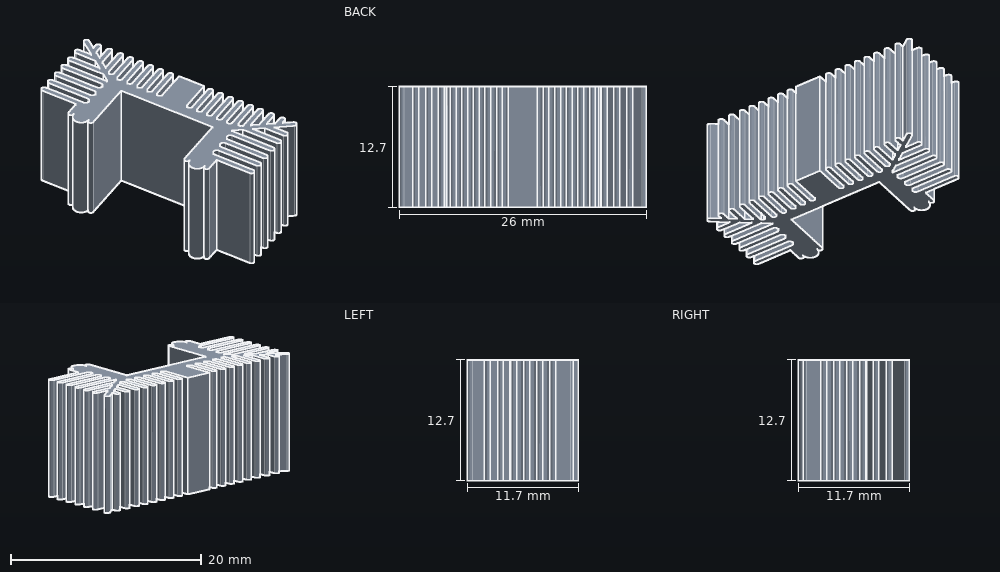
import cadquery as cq
import math

width = 26.0
depth = 11.7
height = 12.71

half_width = width / 2

fin_thickness = 0.62
fin_radius = fin_thickness / 2
fin_tip_x = half_width - fin_radius
fin_tip_y = -fin_radius

block_half_width = 1.53
channel_half_width = 5.6
plate_front_y = -5.1
leg_outer_x = 8.6
side_slot_floor_x = 7.65

back_pitch = 1.22
back_fin_count = 6
wide_pitch = 1.35
wide_fin_count = 2
back_slot_floor_y = -3.77
outer_slot_floor_y = -3.45
back_slot_width = back_pitch - fin_thickness
first_back_fin_x = block_half_width + back_slot_width + fin_radius
back_fin_xs = [first_back_fin_x + i * back_pitch for i in range(back_fin_count)]
wide_fin_xs = [back_fin_xs[-1] + (i + 1) * wide_pitch for i in range(wide_fin_count)]

first_side_fin_y = -2.13
side_pitch = 1.38
side_fin_count = 6
rib_side_fin_count = 2
side_slot_width = side_pitch - fin_thickness
side_fin_ys = [first_side_fin_y - i * side_pitch for i in range(side_fin_count)]
leg_fin_ys = side_fin_ys[rib_side_fin_count:]

rib_angle = math.radians(37)
rib_root_x = channel_half_width + fin_thickness

pin_radius = 0.9
pin_x = (channel_half_width + leg_outer_x) / 2
pin_y = -depth + pin_radius
lip_tip_y = -11.15
lip_radius = (leg_outer_x - pin_x - pin_radius) / 2


def box(x_min, x_max, y_min, y_max):
    """Full-height block between two X and two Y positions."""
    block = cq.Workplane("XY").box(x_max - x_min, y_max - y_min, height, centered=False)
    return block.translate((x_min, y_min, 0))


def cylinder(x, y, radius):
    """Full-height round bar."""
    return cq.Workplane("XY").center(x, y).circle(radius).extrude(height)


def rounded_bar(start, end, bar_width):
    """Full-height bar with fully rounded ends centred on two points."""
    dx = end[0] - start[0]
    dy = end[1] - start[1]
    length = math.hypot(dx, dy)
    return (
        cq.Workplane("XY")
        .center((start[0] + end[0]) / 2, (start[1] + end[1]) / 2)
        .slot2D(length + bar_width, bar_width, math.degrees(math.atan2(dy, dx)))
        .extrude(height)
    )


def make_core():
    """Half of the channel: back block, plate and leg, before the slots are cut."""
    slot_radius = back_slot_width / 2
    core = box(0, block_half_width, plate_front_y, 0)
    core = core.union(box(0, side_slot_floor_x, plate_front_y, back_slot_floor_y + slot_radius))
    core = core.union(
        box(back_fin_xs[-2], back_fin_xs[-1], back_slot_floor_y, outer_slot_floor_y + slot_radius)
    )
    core = core.union(
        box(channel_half_width, side_slot_floor_x + side_slot_width / 2, leg_fin_ys[-1], leg_fin_ys[0])
    )
    return core.union(box(channel_half_width, leg_outer_x, pin_y, leg_fin_ys[-1]))


def cut_slots(core):
    """Cut the round-bottomed slots between the back fins and between the leg fins."""
    for i, fin_x in enumerate(back_fin_xs):
        x = fin_x - back_pitch / 2
        floor_y = outer_slot_floor_y if i == back_fin_count - 1 else back_slot_floor_y
        core = core.cut(rounded_bar((x, floor_y + back_slot_width / 2), (x, 0), back_slot_width))
    for fin_y in leg_fin_ys[:-1]:
        y = fin_y - side_pitch / 2
        start = (side_slot_floor_x + side_slot_width / 2, y)
        core = core.cut(rounded_bar(start, (half_width, y), side_slot_width))
    return core


def rib_y(x):
    """Y of the diagonal rib's centre line."""
    return fin_tip_y - (fin_tip_x - x) * math.tan(rib_angle)


def rib_x(y):
    """X of the diagonal rib's centre line."""
    return fin_tip_x - (fin_tip_y - y) / math.tan(rib_angle)


def add_fins(body):
    """Add the diagonal rib and all round-tipped fins."""
    body = body.union(rounded_bar((rib_root_x, rib_y(rib_root_x)), (fin_tip_x, fin_tip_y), fin_thickness))
    for x in back_fin_xs[:-1]:
        body = body.union(rounded_bar((x, back_slot_floor_y - fin_radius), (x, fin_tip_y), fin_thickness))
    for x in [back_fin_xs[-1]] + wide_fin_xs:
        body = body.union(rounded_bar((x, rib_y(x)), (x, fin_tip_y), fin_thickness))
    for y in side_fin_ys[:rib_side_fin_count]:
        body = body.union(rounded_bar((rib_x(y), y), (fin_tip_x, y), fin_thickness))
    for y in leg_fin_ys:
        body = body.union(rounded_bar((side_slot_floor_x - fin_radius, y), (fin_tip_x, y), fin_thickness))
    return body


def add_pin(body):
    """Add the pin and the two lips that hold it."""
    for x in (channel_half_width + lip_radius, leg_outer_x - lip_radius):
        body = body.union(rounded_bar((x, pin_y), (x, lip_tip_y + lip_radius), 2 * lip_radius))
    return body.union(cylinder(pin_x, pin_y, pin_radius))


half = add_pin(add_fins(cut_slots(make_core())))
result = half.union(half.mirror("YZ")).clean()